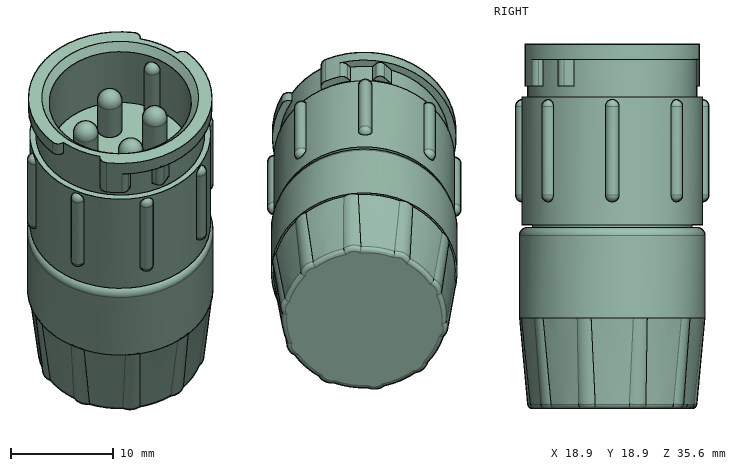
import cadquery as cq
import math

TOTAL_HEIGHT = 35.63
COLLAR_BOTTOM = 8.85
COLLAR_TOP = 17.7
BARREL_BOTTOM = 17.95
BARREL_TOP = 30.45
LUG_BOTTOM = 31.55
FLANGE_BOTTOM = 34.15

COLLAR_RADIUS = 9.1
COLLAR_FILLET = 0.8
GROOVE_RADIUS = 7.8
BARREL_RADIUS = 8.85
NECK_RADIUS = 8.25
FLANGE_RADIUS = 8.98

TAIL_TOP_RADIUS = 8.9
TAIL_BOTTOM_RADIUS = 8.0
TAIL_FILLET = 0.45
TAIL_RIB_COUNT = 10
TAIL_RIB_RADIUS = 1.53
TAIL_RIB_TOP_HEIGHT = 0.15
TAIL_RIB_BOTTOM_HEIGHT = 0.2

BARREL_RIB_COUNT = 8
BARREL_RIB_RADIUS = 0.68
BARREL_RIB_TIP_DIAMETER = 18.92
BARREL_RIB_START = 20.88
BARREL_RIB_END = 29.55

NOTCH_HALF_WIDTH = 2.0
LUG_END_X = 4.75
BAYONET_FILLET = 0.75
STOP_X = 7.38
STOP_Y = 5.3
STOP_FILLET = 0.57

BORE_RADIUS = 6.95
BORE_CHAMFER = 0.7
BORE_FLOOR = 27.8
PIN_OFFSET = 2.5
PIN_RADIUS = 1.2
PIN_BALL_HEIGHT = 31.7
KEY_RADIUS = 0.8
KEY_Y = 6.65
KEY_BALL_HEIGHT = 33.53


def cylinder(radius, bottom, top):
    return cq.Workplane("XY").workplane(offset=bottom).circle(radius).extrude(top - bottom)


def ball(radius, x, y, z):
    return cq.Workplane("XY").sphere(radius).translate((x, y, z))


def domed_pin(radius, x, y, bottom, ball_height):
    """Upright round pin with a hemispherical top."""
    shaft = cylinder(radius, bottom, ball_height).translate((x, y, 0))
    return shaft.union(ball(radius, x, y, ball_height))


def block(x_min, x_max, y_min, y_max, bottom, top):
    return cq.Workplane("XY").box(
        x_max - x_min, y_max - y_min, top - bottom, centered=False
    ).translate((x_min, y_min, bottom))


def turned(shape, angle):
    return shape.rotate((0, 0, 0), (0, 0, 1), angle)


def with_half_turn_copy(shape):
    return shape.union(turned(shape, 180))


def with_ring_of(body, rib, count):
    """Join evenly spaced copies of a rib to the body."""
    for index in range(count):
        body = body.union(turned(rib, index * 360 / count))
    return body


def make_tail():
    """Cone with ten rounded ribs that stand slightly prouder towards the bottom."""
    cone = (
        cq.Workplane("XY")
        .circle(TAIL_BOTTOM_RADIUS)
        .workplane(offset=COLLAR_BOTTOM)
        .circle(TAIL_TOP_RADIUS)
        .loft(ruled=True)
    )
    axis_top_y = TAIL_RIB_RADIUS - TAIL_RIB_TOP_HEIGHT - TAIL_TOP_RADIUS
    axis_bottom_y = TAIL_RIB_RADIUS - TAIL_RIB_BOTTOM_HEIGHT - TAIL_BOTTOM_RADIUS
    axis_bottom = cq.Vector(0, axis_bottom_y, 0)
    axis = cq.Vector(0, axis_top_y - axis_bottom_y, COLLAR_BOTTOM)
    rib = cq.Workplane(
        cq.Solid.makeCylinder(TAIL_RIB_RADIUS, 2 * axis.Length, axis_bottom - axis * 0.5, axis)
    )
    rib = rib.intersect(cylinder(COLLAR_RADIUS, 0, COLLAR_BOTTOM))
    tail = with_ring_of(cone, rib, TAIL_RIB_COUNT)
    return tail.faces("<Z").edges().fillet(TAIL_FILLET)


def make_barrel():
    """Plain sleeve with eight round-ended ribs."""
    barrel = cylinder(BARREL_RADIUS, BARREL_BOTTOM, BARREL_TOP)
    axis_radius = BARREL_RIB_TIP_DIAMETER / 2 - BARREL_RIB_RADIUS
    rib = domed_pin(BARREL_RIB_RADIUS, axis_radius, 0, BARREL_RIB_START, BARREL_RIB_END)
    rib = rib.union(ball(BARREL_RIB_RADIUS, axis_radius, 0, BARREL_RIB_START))
    return with_ring_of(barrel, rib, BARREL_RIB_COUNT)


def rim_y_at(x):
    """Y of the rim's outer surface, on the +Y side, at the given X."""
    return math.sqrt(FLANGE_RADIUS**2 - x**2)


def round_upright_edge(shape, foot):
    """Round the vertical edge that stands nearest the given point."""
    return shape.edges("|Z").edges(cq.NearestToPointSelector(foot)).fillet(BAYONET_FILLET)


def make_flange():
    """Top rim, notched at both Y sides, with rounded notch corners."""
    rim = cylinder(FLANGE_RADIUS, FLANGE_BOTTOM, TOTAL_HEIGHT)
    notch = block(
        -NOTCH_HALF_WIDTH, NOTCH_HALF_WIDTH, -COLLAR_RADIUS, -BORE_RADIUS, FLANGE_BOTTOM, TOTAL_HEIGHT
    )
    rim = rim.cut(with_half_turn_copy(notch))
    for side in (-1, 1):
        for end in (-1, 1):
            corner = (side * NOTCH_HALF_WIDTH, end * rim_y_at(NOTCH_HALF_WIDTH), FLANGE_BOTTOM)
            rim = round_upright_edge(rim, corner)
    return rim


def make_lugs():
    """Locking lug beside each notch and a rounded stop further round, below the rim."""
    lug = block(NOTCH_HALF_WIDTH, LUG_END_X, -COLLAR_RADIUS, 0, LUG_BOTTOM, FLANGE_BOTTOM)
    lug = lug.intersect(cylinder(FLANGE_RADIUS, LUG_BOTTOM, FLANGE_BOTTOM))
    for x in (NOTCH_HALF_WIDTH, LUG_END_X):
        lug = round_upright_edge(lug, (x, -rim_y_at(x), LUG_BOTTOM))
    stop = block(0, STOP_X, -STOP_Y, 0, LUG_BOTTOM, FLANGE_BOTTOM)
    stop = stop.edges("|Z and >X and <Y").fillet(STOP_FILLET)
    return with_half_turn_copy(lug.union(stop))


collar = cylinder(COLLAR_RADIUS, COLLAR_BOTTOM, COLLAR_TOP).faces(">Z").edges().fillet(COLLAR_FILLET)
groove = cylinder(GROOVE_RADIUS, COLLAR_TOP, BARREL_BOTTOM)
neck = cylinder(NECK_RADIUS, BARREL_TOP, TOTAL_HEIGHT)
body = make_tail()
for section in (collar, groove, make_barrel(), neck, make_flange(), make_lugs()):
    body = body.union(section)

bore = cylinder(BORE_RADIUS, BORE_FLOOR, TOTAL_HEIGHT)
bore_mouth = cq.Workplane(cq.Solid.makeCone(
    BORE_RADIUS, BORE_RADIUS + BORE_CHAMFER, BORE_CHAMFER, cq.Vector(0, 0, TOTAL_HEIGHT - BORE_CHAMFER)
))
result = body.cut(bore).cut(bore_mouth)

for pin_x in (-PIN_OFFSET, PIN_OFFSET):
    for pin_y in (-PIN_OFFSET, PIN_OFFSET):
        result = result.union(domed_pin(PIN_RADIUS, pin_x, pin_y, BORE_FLOOR, PIN_BALL_HEIGHT))
result = result.union(domed_pin(KEY_RADIUS, 0, KEY_Y, BORE_FLOOR, KEY_BALL_HEIGHT))